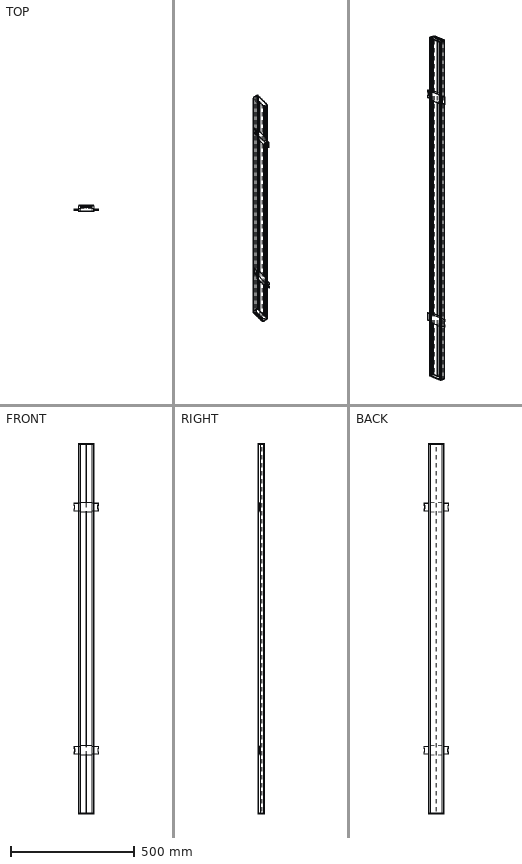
import cadquery as cq

overall_length = 1504.0
overall_depth = 25.21
overall_width = 100.7
cap_thickness = 3.5

profile_width = 65.0
lip_opening = 48.0
lip_thickness = 1.5
undercut_width = 59.0
undercut_depth = 8.8
channel_depth = 14.5
rib_width = 4.0
rib_height = 1.0
rear_recess_depth = 2.0

cover_width = 59.0
cover_thickness = 4.0

bracket_spacing = 988.0
wing_offset = 0.5
bracket_lift = 1.5
block_height = 38.0
wing_height = 32.0
wing_thickness = 3.0
wing_setback = 4.0
notch_width = 14.0
notch_depth = 2.0

front_y = -overall_depth / 2
rear_y = overall_depth / 2
profile_length = overall_length - 2 * cap_thickness
cover_front_y = rear_y - cover_thickness
lip_rear_y = front_y + lip_thickness
undercut_rear_y = lip_rear_y + undercut_depth
floor_y = front_y + channel_depth
recess_floor_y = cover_front_y - rear_recess_depth
block_depth = channel_depth - rib_height - bracket_lift
wing_span = overall_width - 2 * wing_offset
cap_z = (profile_length + cap_thickness) / 2

brackets = [
    (-1, front_y + bracket_lift, bracket_spacing / 2),
    (1, front_y, -bracket_spacing / 2),
]


def slab(width, y_from, y_to, height, x=0.0, z=0.0):
    """Box centred on x and z, spanning y_from to y_to."""
    middle_y = (y_from + y_to) / 2
    return cq.Workplane("XY").box(width, y_to - y_from, height).translate((x, middle_y, z))


def make_bracket(lean, block_front_y, z):
    """Block filling the channel opening, with a notched wing on each side."""
    wing_front_y = block_front_y + wing_setback
    wing_rear_y = wing_front_y + wing_thickness
    wing_x = lean * wing_offset
    bracket = slab(wing_span, wing_front_y, wing_rear_y, wing_height, wing_x, z)
    for side in (-1, 1):
        tip_x = wing_x + side * wing_span / 2
        bracket = bracket.cut(slab(2 * notch_depth, wing_front_y, wing_rear_y, notch_width, tip_x, z))
    block_rear_y = block_front_y + block_depth
    return bracket.union(slab(lip_opening, block_front_y, block_rear_y, block_height, z=z))


def make_profile():
    """Channel section with front lips, a centre rib and slots for the wings."""
    profile = slab(profile_width, front_y, cover_front_y, profile_length)
    profile = profile.cut(slab(lip_opening, front_y, floor_y, profile_length))
    profile = profile.cut(slab(undercut_width, lip_rear_y, undercut_rear_y, profile_length))
    profile = profile.cut(slab(lip_opening, recess_floor_y, cover_front_y, profile_length))
    profile = profile.union(slab(rib_width, floor_y - rib_height, floor_y, profile_length))
    for _, block_front_y, z in brackets:
        slot_front_y = block_front_y + wing_setback
        slot_rear_y = slot_front_y + wing_thickness
        profile = profile.cut(slab(overall_width, slot_front_y, slot_rear_y, wing_height, z=z))
    return profile


def make_cover():
    """Flat strip along the back of the profile."""
    return slab(cover_width, cover_front_y, rear_y, profile_length)


def make_end_cap(z):
    """Plate that closes the profile and the cover at one end."""
    cap = slab(profile_width, front_y, cover_front_y, cap_thickness, z=z)
    return cap.union(slab(cover_width, cover_front_y, rear_y, cap_thickness, z=z))


bodies = [make_profile(), make_cover()]
bodies += [make_end_cap(side * cap_z) for side in (-1, 1)]
bodies += [make_bracket(*placing) for placing in brackets]

result = cq.Compound.makeCompound([body.val() for body in bodies])